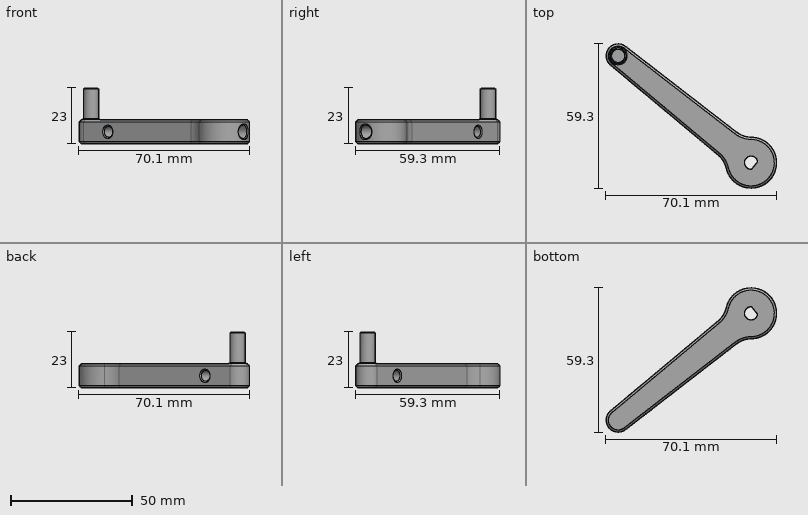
import cadquery as cq
import math

outer_length = 70.05
outer_width = 59.3
hub_radius = 10.5
tip_radius = 5.0
centre_dx = outer_length - hub_radius - tip_radius
centre_dy = outer_width - hub_radius - tip_radius
arm_length = math.hypot(centre_dx, centre_dy)
arm_angle = math.degrees(math.atan2(-centre_dy, centre_dx))
arm_thickness = 10.0
arm_root_half_width = 6.3
neck_radius = 10.0
edge_chamfer = 1.0

total_height = 23.0
pin_diameter = 6.4
pin_chamfer = 0.5

bore_diameter = 5.3
bore_flat_offset = 1.8

hub_hole_diameter = 5.5
side_hole_diameter = 4.5
hole_chamfer = 0.5
side_hole_position = 12.95


def arm_outline():
    """Closed outline along local X: tip at the origin, hub at arm_length."""
    taper = math.asin((arm_root_half_width - tip_radius) / arm_length)
    sin_taper = math.sin(taper)
    cos_taper = math.cos(taper)
    tip_tangent = (-tip_radius * sin_taper, tip_radius * cos_taper)

    neck_offset = arm_root_half_width + neck_radius
    neck_reach = math.sqrt((hub_radius + neck_radius) ** 2 - neck_offset ** 2)
    neck_x = arm_length - neck_offset * sin_taper - neck_reach * cos_taper
    neck_y = neck_offset * cos_taper - neck_reach * sin_taper
    side_end = (neck_x + neck_radius * sin_taper, neck_y - neck_radius * cos_taper)
    hub_share = hub_radius / (hub_radius + neck_radius)
    hub_start = (arm_length + (neck_x - arm_length) * hub_share, neck_y * hub_share)

    start_angle = math.atan2(side_end[1] - neck_y, side_end[0] - neck_x)
    end_angle = math.atan2(hub_start[1] - neck_y, hub_start[0] - neck_x)
    middle_angle = (start_angle + end_angle) / 2
    neck_middle = (
        neck_x + neck_radius * math.cos(middle_angle),
        neck_y + neck_radius * math.sin(middle_angle),
    )

    def mirrored(point):
        return (point[0], -point[1])

    return (
        cq.Workplane("XY")
        .moveTo(*tip_tangent)
        .lineTo(*side_end)
        .threePointArc(neck_middle, hub_start)
        .threePointArc((arm_length + hub_radius, 0), mirrored(hub_start))
        .threePointArc(mirrored(neck_middle), mirrored(side_end))
        .lineTo(*mirrored(tip_tangent))
        .threePointArc((-tip_radius, 0), tip_tangent)
        .close()
    )


def make_arm():
    return arm_outline().extrude(arm_thickness).faces("<Z or >Z").chamfer(edge_chamfer)


def make_pin():
    """Pin with a chamfered top and a flared foot, revolved about the Z axis."""
    radius = pin_diameter / 2
    return (
        cq.Workplane("XZ")
        .moveTo(0, arm_thickness / 2)
        .lineTo(radius + pin_chamfer, arm_thickness / 2)
        .lineTo(radius + pin_chamfer, arm_thickness)
        .lineTo(radius, arm_thickness + pin_chamfer)
        .lineTo(radius, total_height - pin_chamfer)
        .lineTo(radius - pin_chamfer, total_height)
        .lineTo(0, total_height)
        .close()
        .revolve(360, (0, 0, 0), (0, 1, 0))
    )


def make_bore():
    """D-shaped shaft bore as a solid tool."""
    flat_limit = (
        cq.Workplane("XY")
        .box(bore_diameter, bore_diameter, arm_thickness, centered=(False, True, False))
        .translate((arm_length + bore_flat_offset, 0, 0))
    )
    bore = cq.Workplane("XY").center(arm_length, 0).circle(bore_diameter / 2).extrude(arm_thickness)
    return bore.cut(flat_limit)


def drill_hub_hole(body):
    """Chamfered hole along the arm axis from the far side of the hub into the bore."""
    hole_radius = hub_hole_diameter / 2
    drill = (
        cq.Workplane("YZ", origin=(arm_length, 0, arm_thickness / 2))
        .circle(hole_radius)
        .extrude(2 * hub_radius)
    )
    rim_zone = cq.selectors.BoxSelector(
        (arm_length + hub_radius / 2, -hub_radius / 2, edge_chamfer),
        (arm_length + 2 * hub_radius, hub_radius / 2, arm_thickness - edge_chamfer),
    )
    return body.cut(drill).edges(rim_zone).edges("not %LINE").chamfer(hole_chamfer)


def drill_side_hole(body):
    """Hole across the arm, chamfered where it leaves both sides."""
    drill = (
        cq.Workplane("XZ", origin=(side_hole_position, 0, arm_thickness / 2))
        .circle(side_hole_diameter / 2)
        .extrude(arm_root_half_width + hole_chamfer, both=True)
    )
    rim_zone = cq.selectors.BoxSelector(
        (side_hole_position - side_hole_diameter, -hub_radius, edge_chamfer),
        (side_hole_position + side_hole_diameter, hub_radius, arm_thickness - edge_chamfer),
    )
    return body.cut(drill).edges(rim_zone).edges("not %LINE").chamfer(hole_chamfer)


arm = drill_side_hole(drill_hub_hole(make_arm()))
result = arm.cut(make_bore()).union(make_pin())
result = result.rotate((0, 0, 0), (0, 0, 1), arm_angle)